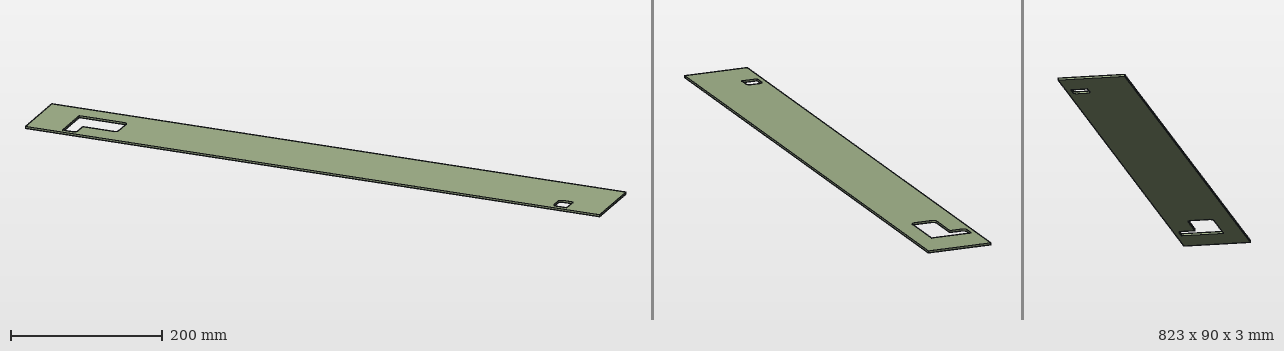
import cadquery as cq

length = 823.0
width = 90.0
thickness = 3.0

end_margin = 50.0
front_margin = 7.0
leg_width = 20.0
leg_height = 22.0
arm_length = 69.0
arm_height = 34.5
corner_radius = 5.0

plate = cq.Workplane("XY").box(length, width, thickness)

left_side = -length / 2 + end_margin
right_side = length / 2 - end_margin
bottom = -width / 2 + front_margin
leg_top = bottom + leg_height


def rectangle_cutter(x, y, size_x, size_y):
    """Block through the plate with its lower left corner at (x, y)."""
    return (
        cq.Workplane("XY")
        .box(size_x, size_y, 2 * thickness, centered=(False, False, True))
        .translate((x, y, 0))
    )


leg = rectangle_cutter(left_side, bottom, leg_width, leg_height + arm_height)
leg = leg.edges("|Z and >X and <Y").fillet(corner_radius)
arm = rectangle_cutter(left_side, leg_top, arm_length, arm_height)
arm = arm.edges("|Z and >X").fillet(corner_radius)

window = rectangle_cutter(right_side - leg_width, bottom, leg_width, leg_height)
window = window.edges("|Z and <X").fillet(corner_radius)

result = plate.cut(leg).cut(arm).cut(window)